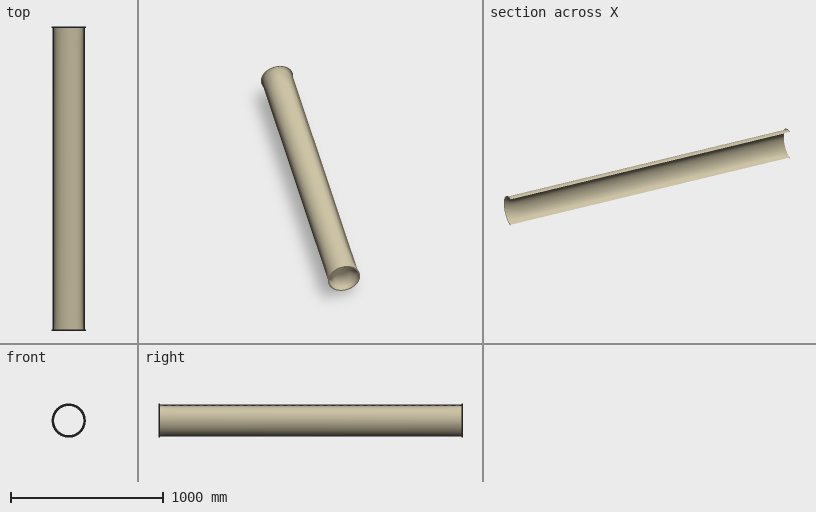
import cadquery as cq

tube_length = 1988.0
tube_outer_diameter = 205.0
tube_bore_diameter = 199.0
flange_diameter = 217.0

wall_thickness = (tube_outer_diameter - tube_bore_diameter) / 2
flange_thickness = wall_thickness
half_length = tube_length / 2


def ring(outer_diameter, start_y, length):
    """Ring around the Y axis with the tube bore, running from start_y toward +Y."""
    return (
        cq.Workplane("XZ", origin=(0, start_y, 0))
        .circle(outer_diameter / 2)
        .circle(tube_bore_diameter / 2)
        .extrude(-length)
    )


tube = ring(tube_outer_diameter, -half_length, tube_length)

result = tube
for flange_start_y in (-half_length, half_length - flange_thickness):
    result = result.union(ring(flange_diameter, flange_start_y, flange_thickness))